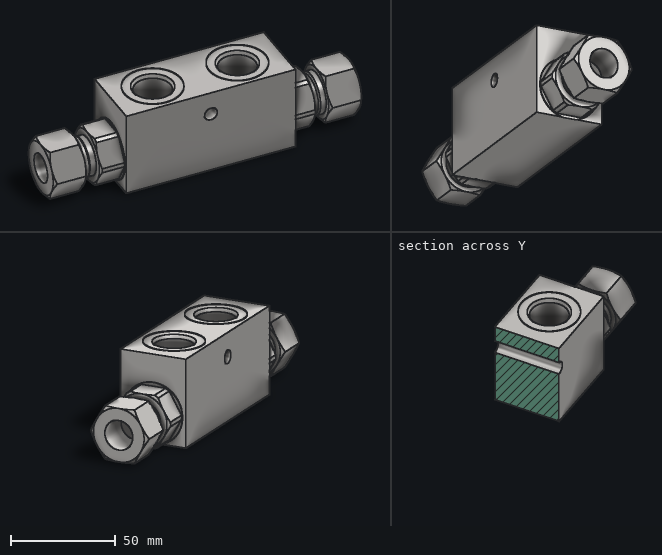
import cadquery as cq
import math

BLOCK_WIDTH = 35.0
BLOCK_LENGTH = 90.0
BLOCK_HEIGHT = 45.0
OVERALL_LENGTH = 164.0

PORT_SPACING = BLOCK_LENGTH / 2
PORT_DIAMETER = 19.0
PORT_MOUTH_DIAMETER = 21.2
PORT_MOUTH_DEPTH = 1.8
PORT_SPOTFACE_DIAMETER = 30.0
SPOTFACE_DEPTH = 0.3
CORE_DIAMETER = 22.0

CROSS_HOLE_DIAMETER = 6.7
CROSS_HOLE_HEIGHT = 32.6

FITTING_AXIS_HEIGHT = 15.1
FITTING_SPOTFACE_DIAMETER = 31.2
HEX_ACROSS_FLATS = 27.0
HEX_ACROSS_CORNERS = HEX_ACROSS_FLATS / math.cos(math.radians(30))
BODY_CORNER_DIAMETER = 30.0
HEX_CHAMFER_ANGLE = 30.0
NUT_LENGTH = 17.5
COLLAR_DIAMETER = 22.0
COLLAR_LENGTH = 3.0
NECK_DIAMETER = 20.3
NECK_LENGTH = 4.1
TUBE_BORE_DIAMETER = 15.0
TUBE_BORE_DEPTH = NUT_LENGTH

FITTING_LENGTH = (OVERALL_LENGTH - BLOCK_LENGTH) / 2
NUT_START = FITTING_LENGTH - NUT_LENGTH
COLLAR_START = NUT_START - COLLAR_LENGTH
BODY_END = COLLAR_START - NECK_LENGTH


def rod(diameter, start, end):
    """Cylinder on the Z axis between two heights."""
    return cq.Workplane("XY").workplane(offset=start).circle(diameter / 2).extrude(end - start)


def revolve_about_z(profile):
    """Solid of revolution from closed (radius, height) points."""
    return cq.Workplane("XZ").polyline(profile).close().revolve(360, (0, 0), (0, 1))


def turned_blank(diameter, start, end, chamfer_start):
    """Round bar whose ends taper down to the hexagon's inscribed circle."""
    radius = diameter / 2
    face_radius = HEX_ACROSS_FLATS / 2
    taper = (radius - face_radius) * math.tan(math.radians(HEX_CHAMFER_ANGLE))
    profile = [(0, start)]
    if chamfer_start:
        profile += [(face_radius, start), (radius, start + taper)]
    else:
        profile += [(radius, start)]
    profile += [(radius, end - taper), (face_radius, end), (0, end)]
    return revolve_about_z(profile)


def hexagon(start, end):
    """Hexagonal bar on the Z axis with two corners on the X axis."""
    plane = cq.Workplane("XY").workplane(offset=start)
    return plane.polygon(6, HEX_ACROSS_CORNERS).extrude(end - start)


def make_fitting():
    """Tube fitting along Z, starting on the floor of the block's spotface."""
    root = -SPOTFACE_DEPTH
    body = hexagon(root, BODY_END).intersect(turned_blank(BODY_CORNER_DIAMETER, root, BODY_END, False))
    nut = hexagon(NUT_START, FITTING_LENGTH).intersect(
        turned_blank(HEX_ACROSS_CORNERS, NUT_START, FITTING_LENGTH, True)
    )
    bevel = (COLLAR_DIAMETER - NECK_DIAMETER) / 2
    neck_profile = [
        (0, BODY_END),
        (NECK_DIAMETER / 2, BODY_END),
        (NECK_DIAMETER / 2, COLLAR_START - bevel),
        (COLLAR_DIAMETER / 2, COLLAR_START),
        (COLLAR_DIAMETER / 2, NUT_START),
        (0, NUT_START),
    ]
    neck = revolve_about_z(neck_profile)
    bore = rod(TUBE_BORE_DIAMETER, FITTING_LENGTH - TUBE_BORE_DEPTH, FITTING_LENGTH)
    return body.union(neck).union(nut).cut(bore)


def make_port_cutter():
    """Spotface, tapered mouth and bore of one port, with its mouth at Z = BLOCK_HEIGHT."""
    floor = BLOCK_HEIGHT - SPOTFACE_DEPTH
    bore_radius = PORT_DIAMETER / 2
    mouth_radius = PORT_MOUTH_DIAMETER / 2
    spotface_radius = PORT_SPOTFACE_DIAMETER / 2
    profile = [
        (0, FITTING_AXIS_HEIGHT),
        (bore_radius, FITTING_AXIS_HEIGHT),
        (bore_radius, floor - PORT_MOUTH_DEPTH),
        (mouth_radius, floor),
        (spotface_radius, floor),
        (spotface_radius, BLOCK_HEIGHT),
        (0, BLOCK_HEIGHT),
    ]
    cutter = revolve_about_z(profile)
    core = (
        cq.Workplane("XZ")
        .center(0, FITTING_AXIS_HEIGHT)
        .circle(CORE_DIAMETER / 2)
        .extrude(PORT_SPOTFACE_DIAMETER, both=True)
    )
    return cutter.cut(core)


def place_on_end(shape, side):
    """Turn a Z-axis shape to point out of the block's -Y (side = -1) or +Y (side = 1) end."""
    turned = shape.rotate((0, 0, 0), (1, 0, 0), -90 * side)
    return turned.translate((0, side * BLOCK_LENGTH / 2, FITTING_AXIS_HEIGHT))


block = cq.Workplane("XY").box(BLOCK_WIDTH, BLOCK_LENGTH, BLOCK_HEIGHT, centered=(True, True, False))
cross_hole = (
    cq.Workplane("YZ")
    .center(0, CROSS_HOLE_HEIGHT)
    .circle(CROSS_HOLE_DIAMETER / 2)
    .extrude(BLOCK_WIDTH, both=True)
)
result = block.cut(cross_hole)

port_cutter = make_port_cutter()
fitting = make_fitting()
end_spotface = rod(FITTING_SPOTFACE_DIAMETER, -SPOTFACE_DEPTH, 0)
for side in (-1, 1):
    result = result.cut(port_cutter.translate((0, side * PORT_SPACING / 2, 0)))
    result = result.cut(place_on_end(end_spotface, side))
    result = result.union(place_on_end(fitting, side))